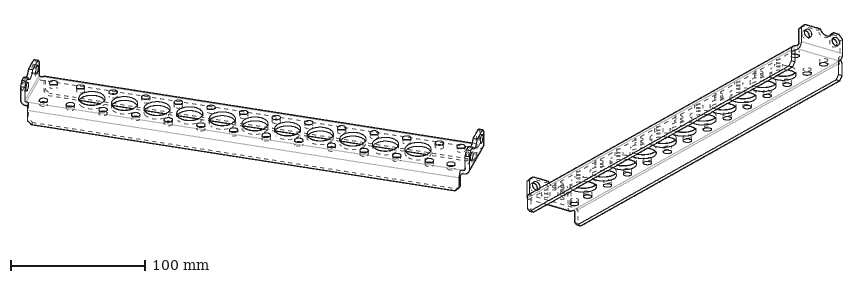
import cadquery as cq
import math

length = 349.2
width = 46.8
height = 32.5

sheet = 3.32
bend_inner = 1.0
bend_outer = bend_inner + sheet

tab_height = 16.0
side_end_gap = 6.5
side_corner = 3.0
tab_corner = 3.5
corner_radius = 1.7

hole_diameter = 6.3
hole_row_spacing = 26.2
end_hole_spacing = 317.0
large_diameter = 19.5
large_count = 11
large_span = 254.0
pattern_offset = 2.0

tab_hole_diameter = 6.5
tab_hole_spacing = 25.5
tab_hole_drop = 6.5
notch_radius = 6.3
notch_depth = 4.2
notch_y = -4.5

z_top = height / 2
z_bottom = -height / 2
web_top = z_top - tab_height
web_bottom = web_top - sheet
side_length = length - 2 * side_end_gap
tab_width = width - 2 * bend_outer
pitch = large_span / (large_count - 1)


def bent_profile(run):
    """Web with both side flanges, bent about axes along X, over the given run."""
    outer = (
        cq.Workplane("XY")
        .box(run, width, web_top - z_bottom, centered=(True, True, False))
        .translate((0, 0, z_bottom))
        .edges("|X and >Z")
        .fillet(bend_outer)
    )
    inner = (
        cq.Workplane("XY")
        .box(run, width - 2 * sheet, web_bottom - z_bottom, centered=(True, True, False))
        .translate((0, 0, z_bottom))
        .edges("|X and >Z")
        .fillet(bend_inner)
    )
    return outer.cut(inner)


def channel():
    """Channel as long as the side flanges, with chamfered lower corners."""
    return bent_profile(side_length).edges("|Y and <Z").edges("<X or >X").chamfer(side_corner)


def inside_corners():
    """Concave rounded corners where the tab strip meets the ends of the side bends."""
    reach = corner_radius * (1 - math.sqrt(0.5))
    x_wall = side_length / 2
    y_wall = tab_width / 2
    corners = cq.Workplane("XY")
    for sx in (-1, 1):
        for sy in (-1, 1):
            corner = (
                cq.Workplane("XY", origin=(0, 0, web_top - bend_outer))
                .moveTo(sx * x_wall, sy * y_wall)
                .lineTo(sx * (x_wall + corner_radius), sy * y_wall)
                .threePointArc(
                    (sx * (x_wall + reach), sy * (y_wall + reach)),
                    (sx * x_wall, sy * (y_wall + corner_radius)),
                )
                .close()
                .extrude(bend_outer)
            )
            corners = corners.add(corner)
    return bent_profile(length).intersect(corners.combine())


def tab_strip():
    """Narrow web strip running the full length, with both end tabs bent up."""
    outer = (
        cq.Workplane("XY")
        .box(length, tab_width, z_top - web_bottom, centered=(True, True, False))
        .translate((0, 0, web_bottom))
        .edges("|Y and <Z")
        .fillet(bend_outer)
    )
    inner = (
        cq.Workplane("XY")
        .box(length - 2 * sheet, tab_width, tab_height, centered=(True, True, False))
        .translate((0, 0, web_top))
        .edges("|Y and <Z")
        .fillet(bend_inner)
    )
    return outer.cut(inner).edges("|X and >Z").chamfer(tab_corner)


def web_cutter(points, diameter):
    """Vertical cylinders through the web at the given points."""
    return (
        cq.Workplane("XY", origin=(0, 0, web_bottom))
        .pushPoints(points)
        .circle(diameter / 2)
        .extrude(sheet)
    )


def tab_cutter(y, z, radius):
    """Cylinder along X through both end tabs."""
    return (
        cq.Workplane("YZ", origin=(-length / 2, 0, 0))
        .center(y, z)
        .circle(radius)
        .extrude(length)
    )


large_xs = [pattern_offset + (i - (large_count - 1) / 2) * pitch for i in range(large_count)]
small_xs = [pattern_offset + (i - large_count / 2) * pitch for i in range(large_count + 1)]
small_xs += [-end_hole_spacing / 2, end_hole_spacing / 2]
large_points = [(x, 0) for x in large_xs]
small_points = [(x, side * hole_row_spacing / 2) for x in small_xs for side in (-1, 1)]

result = channel().union(tab_strip()).union(inside_corners())
result = result.cut(web_cutter(large_points, large_diameter))
result = result.cut(web_cutter(small_points, hole_diameter))

for side in (-1, 1):
    result = result.cut(tab_cutter(side * tab_hole_spacing / 2, z_top - tab_hole_drop, tab_hole_diameter / 2))
result = result.cut(tab_cutter(notch_y, z_top - notch_depth + notch_radius, notch_radius))